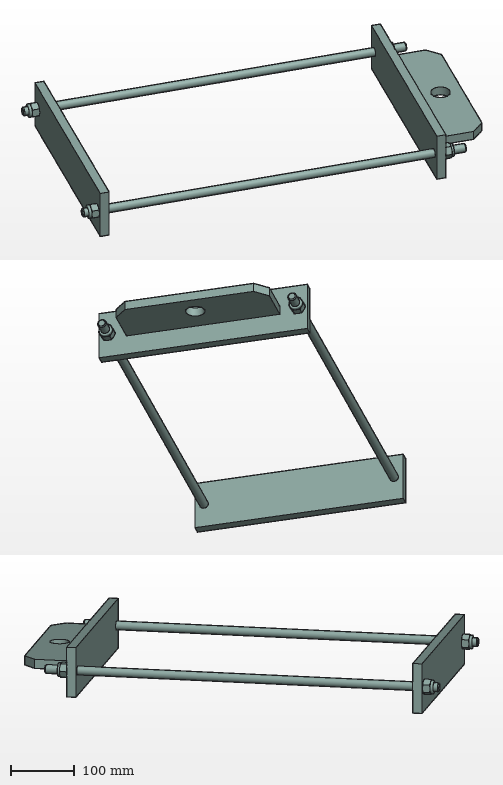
import cadquery as cq
import math

frame_width = 340.0
frame_length = 674.0
plate_height = 80.0
plate_thickness = 15.0

lug_width = 250.0
lug_depth = 80.0
lug_thickness = 15.0
lug_corner = 20.0
lug_hole_diameter = 30.0
lug_hole_to_edge = 35.0

rod_diameter = 14.0
rod_spacing = 310.0
rod_length = 631.0
rod_front_overhang = 25.0
rod_tip_chamfer = 1.7

nut_across_flats = 21.5
nut_across_corners = nut_across_flats / math.cos(math.pi / 6)
nut_hex_height = 12.0
nut_corner_angle = 30
nut_height = 16.0
nut_collar_diameter = nut_across_flats
nut_collar_rounding = 1.5

front_nut_turn = 33
rear_nut_turn = 0

rod_front_end = -rod_front_overhang
lug_edge = rod_front_end + frame_length
rear_plate_back = lug_edge - lug_depth
rear_plate_front = rear_plate_back - plate_thickness
rod_sides = (-rod_spacing / 2, rod_spacing / 2)


def rod_cylinder(x, y_start, length):
    """Cylinder of the rod diameter along +Y, centred on the rod axis at x."""
    return cq.Workplane(cq.Solid.makeCylinder(
        rod_diameter / 2, length, cq.Vector(x, y_start, 0), cq.Vector(0, 1, 0)))


def make_plate(y_front):
    """End plate with a through hole for each rod."""
    plate = cq.Workplane("XY").box(
        frame_width, plate_thickness, plate_height, centered=(True, False, True)
    ).translate((0, y_front, 0))
    for x in rod_sides:
        plate = plate.cut(rod_cylinder(x, y_front, plate_thickness))
    return plate


def make_lug():
    """Flat lug with two cut corners and one hole."""
    lug = cq.Workplane("XY").box(
        lug_width, lug_depth, lug_thickness, centered=(True, False, True)
    ).translate((0, rear_plate_back, 0))
    lug = lug.edges("|Z and >Y").chamfer(lug_corner)
    hole = cq.Workplane("XY").center(0, lug_edge - lug_hole_to_edge).circle(
        lug_hole_diameter / 2).extrude(lug_thickness, both=True)
    return lug.cut(hole)


def make_rod(x):
    """Tie rod along Y with both tips chamfered."""
    return rod_cylinder(x, rod_front_end, rod_length).faces("<Y or >Y").chamfer(rod_tip_chamfer)


def make_nut(x, y_seat, direction, turn):
    """Lock nut seated at y_seat and pointing along direction (+1 or -1 in Y).

    With turn = 0 two hexagon corners point along X. The corners are trimmed conically
    at both ends of the hexagon.
    """
    nut = cq.Workplane("XY").polygon(6, nut_across_corners).extrude(nut_hex_height)
    corner_reach = (nut_across_corners - nut_across_flats) / 2
    corner_trim = cq.Workplane("XY").circle(nut_across_corners / 2).extrude(nut_hex_height)
    corner_trim = corner_trim.faces(">Z or <Z").chamfer(
        corner_reach * math.tan(math.radians(nut_corner_angle)), corner_reach)
    nut = nut.intersect(corner_trim)
    collar = cq.Workplane("XY").circle(nut_collar_diameter / 2).extrude(nut_height)
    collar = collar.faces(">Z").edges().fillet(nut_collar_rounding)
    bore = cq.Workplane("XY").circle(rod_diameter / 2).extrude(nut_height)
    nut = nut.union(collar).cut(bore)
    nut = nut.rotate((0, 0, 0), (0, 0, 1), turn)
    nut = nut.rotate((0, 0, 0), (1, 0, 0), -90 * direction)
    return nut.translate((x, y_seat, 0))


front_plate = make_plate(0)
rear_plate = make_plate(rear_plate_front)
lug = make_lug()
rods = [make_rod(x) for x in rod_sides]
front_nuts = [make_nut(x, 0, -1, front_nut_turn) for x in rod_sides]
rear_nuts = [make_nut(x, rear_plate_back, 1, rear_nut_turn) for x in rod_sides]

bodies = [front_plate, rear_plate, lug, *rods, *front_nuts, *rear_nuts]
result = cq.Compound.makeCompound([body.val() for body in bodies])